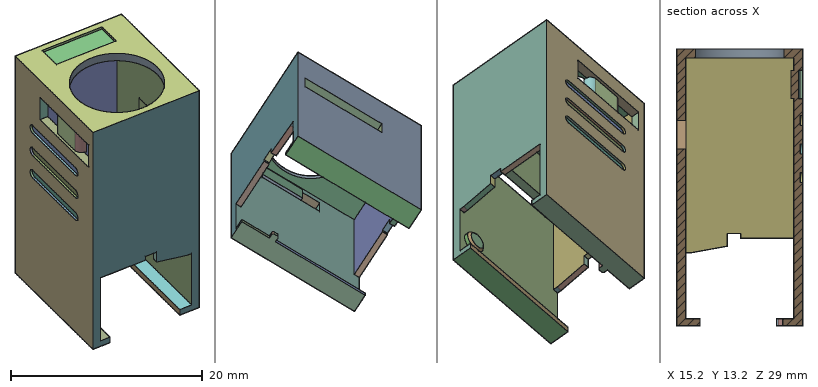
import cadquery as cq
import math

LENGTH = 15.25
WIDTH = 13.2
HEIGHT = 29.0

SIDE_WALL = 0.65
FACE_WALL = 0.95
ROOF = 1.0
FLOOR = 0.75
REAR_LIP = 2.45
FRONT_LIP = 2.12

INNER_LENGTH = LENGTH - 2 * SIDE_WALL
INNER_WIDTH = WIDTH - 2 * FACE_WALL
FRONT = -WIDTH / 2
REAR = WIDTH / 2
INNER_FRONT = FRONT + FACE_WALL
INNER_REAR = REAR - FACE_WALL
LIP_FRONT = FRONT + FRONT_LIP
LIP_REAR = REAR - REAR_LIP

EDGE_FRONT_Z = 9.15
NOTCH_TOP_Z = 9.65
NOTCH_FRONT_Y = -0.1
NOTCH_REAR_Y = 1.3
SLOPE_TOP_Z = 8.32
SLOPE_BOTTOM_Z = 7.63
REAR_FLAT = 0.52

BORE_RADIUS = 5.0
BORE_X = 1.9
LABEL_LENGTH = 2.78
LABEL_WIDTH = 7.42
LABEL_DEPTH = 0.3
LABEL_X = -5.5

WINDOW_LENGTH = 9.45
WINDOW_HEIGHT = 2.95
WINDOW_X = 2.0
FRONT_WINDOW_TOP = HEIGHT - 2.25
REAR_WINDOW_TOP = HEIGHT - 7.5

POST_LENGTH = 4.87
POST_FLAT = 3.4
POST_ROUND = 1.0
POST_X = WINDOW_X
POST_RECESS = 0.3

GROOVE_COUNT = 3
GROOVE_LENGTH = 9.37
GROOVE_WIDTH = 1.02
GROOVE_DEPTH = 0.25
GROOVE_PITCH = 3.0
TOP_GROOVE_Z = HEIGHT - 7.5

STUD_RADIUS = 1.22
STUD_HEIGHT = 0.7
STUD_CHAMFER = 0.25
STUD_X = -5.68
STUD_Z = 3.65

NUB_LENGTH = 0.78
NUB_REACH = 0.65
NUB_FILLET = 0.2
NUB_X = 3.83


def box(length, width, height, x, y, z):
    """Box centred on x, with its front face at y and its bottom at z."""
    return cq.Workplane("XY").box(length, width, height, centered=(True, False, False)).translate((x, y, z))


def shell():
    """Hollow block with an open bottom bordered by a front and a rear lip."""
    block = box(LENGTH, WIDTH, HEIGHT, 0, FRONT, 0)
    cavity = box(INNER_LENGTH, INNER_WIDTH, HEIGHT - ROOF - FLOOR, 0, INNER_FRONT, FLOOR)
    return block.cut(cavity)


def side_opening():
    """Opening below both side walls and between the lips, running along X."""
    outline = [
        (LIP_FRONT, 0),
        (LIP_FRONT, FLOOR),
        (INNER_FRONT, FLOOR),
        (INNER_FRONT, EDGE_FRONT_Z),
        (NOTCH_FRONT_Y, EDGE_FRONT_Z),
        (NOTCH_FRONT_Y, NOTCH_TOP_Z),
        (NOTCH_REAR_Y, NOTCH_TOP_Z),
        (NOTCH_REAR_Y, SLOPE_TOP_Z),
        (INNER_REAR - REAR_FLAT, SLOPE_BOTTOM_Z),
        (INNER_REAR, SLOPE_BOTTOM_Z),
        (INNER_REAR, FLOOR),
        (LIP_REAR, FLOOR),
        (LIP_REAR, 0),
    ]
    return cq.Workplane("YZ").polyline(outline).close().extrude(LENGTH / 2, both=True)


def roof_bore():
    return cq.Workplane("XY", origin=(BORE_X, 0, HEIGHT - ROOF)).circle(BORE_RADIUS).extrude(ROOF)


def label_pocket():
    return box(LABEL_LENGTH, LABEL_WIDTH, LABEL_DEPTH, LABEL_X, -LABEL_WIDTH / 2, HEIGHT - LABEL_DEPTH)


def window(front_y, top_z):
    """Rectangular opening through one of the two thick walls."""
    return box(WINDOW_LENGTH, FACE_WALL, WINDOW_HEIGHT, WINDOW_X, front_y, top_z - WINDOW_HEIGHT)


def post():
    """Post set back from the front face; a flat front meets the round flanks at a slight angle."""
    half_flat = POST_FLAT / 2
    half_length = POST_LENGTH / 2
    arc_centre_x = half_length - POST_ROUND
    depth = math.sqrt(POST_ROUND**2 - (half_flat - arc_centre_x) ** 2)
    return (
        cq.Workplane("XY", origin=(POST_X, FRONT + POST_RECESS, FRONT_WINDOW_TOP - WINDOW_HEIGHT))
        .moveTo(-half_flat, 0)
        .lineTo(half_flat, 0)
        .radiusArc((half_length, depth), -POST_ROUND)
        .lineTo(-half_length, depth)
        .radiusArc((-half_flat, 0), -POST_ROUND)
        .close()
        .extrude(WINDOW_HEIGHT)
    )


def grooves():
    centres = [(0, TOP_GROOVE_Z - i * GROOVE_PITCH) for i in range(GROOVE_COUNT)]
    face = cq.Workplane("XZ", origin=(0, FRONT, 0)).pushPoints(centres)
    return face.slot2D(GROOVE_LENGTH, GROOVE_WIDTH).extrude(-GROOVE_DEPTH)


def stud():
    base = cq.Workplane("XZ", origin=(STUD_X, INNER_REAR, STUD_Z))
    return base.circle(STUD_RADIUS).extrude(STUD_HEIGHT).faces("<Y").chamfer(STUD_CHAMFER)


def nub():
    body = box(NUB_LENGTH, NUB_REACH, FLOOR, NUB_X, LIP_FRONT, 0)
    return body.faces(">Y").edges("|Z").fillet(NUB_FILLET)


result = (
    shell()
    .cut(side_opening())
    .cut(roof_bore())
    .cut(label_pocket())
    .cut(window(FRONT, FRONT_WINDOW_TOP))
    .cut(window(INNER_REAR, REAR_WINDOW_TOP))
    .cut(grooves())
    .union(post())
    .union(stud())
    .union(nub())
)